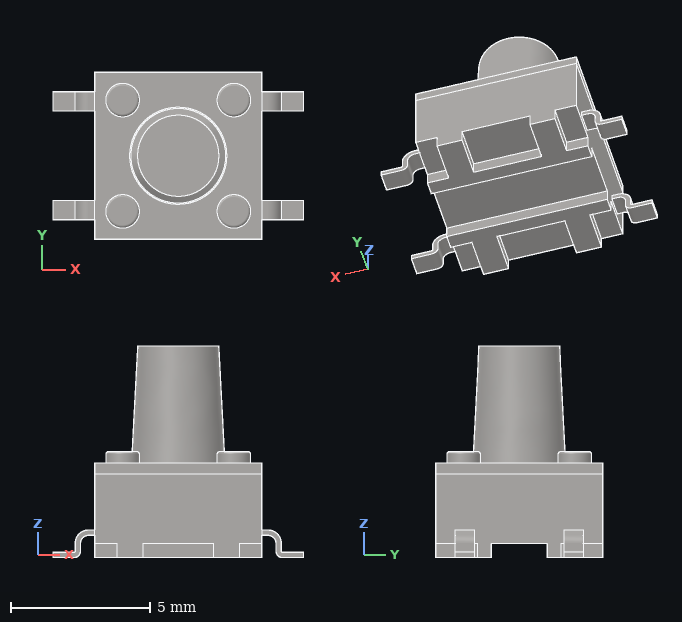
import cadquery as cq
import math

overall_length = 9.0
overall_height = 7.61
body_side = 6.0

foot_height = 0.5
base_top = 3.015
base_block_height = base_top - foot_height
channel_width = 2.0
rib_width = 0.5
rib_offset = (channel_width + rib_width) / 2
foot_width = 0.94
foot_offset = 1.74
foot_depth = (body_side - channel_width) / 2 - rib_width
foot_center_y = (body_side - foot_depth) / 2

button_base_radius = 1.7
button_draft = 3.0
button_height = overall_height - base_top
button_top_radius = button_base_radius - button_height * math.tan(math.radians(button_draft))

lead_thickness = 0.2
lead_width = 0.7
lead_spacing = 3.91
lead_top = 1.0
shoulder_length = 0.225
upper_outer_radius = 0.48
lower_inner_radius = 0.045

cover_thickness = 0.4
cover_top = base_top + cover_thickness
button_hole_radius = 1.75
stud_radius = 0.6
stud_height = 0.405
stud_edge_radius = 0.1
stud_spacing = 4.0


def plain_box(x, y, z, length, width, height):
    """Box centered on (x, y) with its bottom at height z."""
    box = cq.Workplane("XY").box(length, width, height, centered=(True, True, False))
    return box.translate((x, y, z))


def make_lead(y):
    """S-bent lead on the +X side, its width centered on y."""
    wall_x = body_side / 2
    tip_x = overall_length / 2
    upper_bend_x = wall_x + shoulder_length
    upper_bend_z = lead_top - upper_outer_radius
    web_outer_x = upper_bend_x + upper_outer_radius
    web_inner_x = web_outer_x - lead_thickness
    lower_bend_x = web_outer_x + lower_inner_radius
    lower_bend_z = lead_thickness + lower_inner_radius
    lead_underside = lead_top - lead_thickness
    profile = (
        cq.Workplane("XZ")
        .moveTo(wall_x, lead_top)
        .lineTo(upper_bend_x, lead_top)
        .tangentArcPoint((web_outer_x, upper_bend_z), relative=False)
        .lineTo(web_outer_x, lower_bend_z)
        .tangentArcPoint((lower_bend_x, lead_thickness), relative=False)
        .lineTo(tip_x, lead_thickness)
        .lineTo(tip_x, 0)
        .lineTo(lower_bend_x, 0)
        .tangentArcPoint((web_inner_x, lower_bend_z), relative=False)
        .lineTo(web_inner_x, upper_bend_z)
        .tangentArcPoint((upper_bend_x, lead_underside), relative=False)
        .lineTo(wall_x, lead_underside)
        .close()
    )
    return profile.extrude(lead_width / 2, both=True).translate((0, y, 0))


def make_button():
    """Round button that narrows toward its flat top."""
    return (
        cq.Workplane("XY", origin=(0, 0, base_top))
        .circle(button_base_radius)
        .workplane(offset=button_height)
        .circle(button_top_radius)
        .loft()
    )


def make_base():
    """Base block with its ribs, feet, leads and button, all one solid."""
    base = plain_box(0, 0, foot_height, body_side, body_side, base_block_height)
    for side_y in (-1, 1):
        rib = plain_box(0, side_y * rib_offset, 0, body_side, rib_width, foot_height)
        base = base.union(rib)
        for side_x in (-1, 1):
            foot_x = side_x * foot_offset
            foot_y = side_y * foot_center_y
            foot = plain_box(foot_x, foot_y, 0, foot_width, foot_depth, foot_height)
            base = base.union(foot)
        lead = make_lead(side_y * lead_spacing / 2)
        base = base.union(lead).union(lead.mirror("YZ"))
    return base.union(make_button())


def make_cover():
    """Cover plate with a clearance hole for the button and four round-edged studs."""
    plate = (
        cq.Workplane("XY", origin=(0, 0, base_top))
        .rect(body_side, body_side)
        .circle(button_hole_radius)
        .extrude(cover_thickness)
    )
    studs = (
        cq.Workplane("XY", origin=(0, 0, cover_top))
        .rect(stud_spacing, stud_spacing, forConstruction=True)
        .vertices()
        .circle(stud_radius)
        .extrude(stud_height)
        .faces(">Z")
        .edges()
        .fillet(stud_edge_radius)
    )
    return plate.union(studs)


base = make_base()
cover = make_cover()
result = cq.Compound.makeCompound([base.solids().val(), cover.solids().val()])